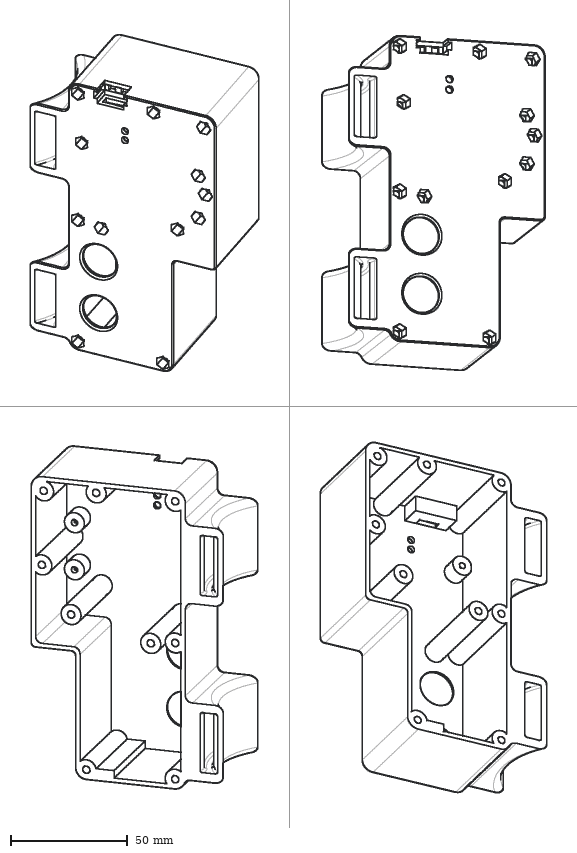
import cadquery as cq
import math

LENGTH = 135.0
DEPTH = 44.0
WALL = 2.0
BODY_LEFT = 18.2
BODY_RIGHT = 88.0
LEG_RIGHT = 67.9
STEP_Z = 57.5
BODY_CORNER = 5.0
STEP_CORNER = 2.0
LOBE_FILLET = 3.1
FRONT_CHAMFER = 0.5

LEDGE_LEFT = 50.5
LEDGE_TOP = 5.4

LOBE_BOTTOMS = (4.6, 84.8)
LOBE_HEIGHT = 35.2
LOBE_TIP_X = -0.35
SADDLE_RADIUS = 33.5
SADDLE_Y = 22.8
SADDLE_X = LOBE_TIP_X - math.sqrt(SADDLE_RADIUS**2 - SADDLE_Y**2)
SLOT_WIDTH = 4.0
SLOT_HEIGHT = 27.1
SLOT_BASE = 4.2
SLOT_INNER_RADIUS = SADDLE_RADIUS + WALL
SLOT_OUTER_RADIUS = SLOT_INNER_RADIUS + SLOT_WIDTH
SLOT_EDGE_FILLET = 1.0
SLOT_MOUTH_X = 12.4
LIP_RADIUS = 6.8
LEAD_IN_SLANT = 29.0

SCREW_DIAMETER = 3.2
SMALL_SCREW_DIAMETER = 2.7
NUT_DIAMETER = 6.5
NUT_DEPTH = 6.0
BRIDGE_LAYER = 0.3
UPRIGHT_TURN = 30.0
POST_DIAMETER = 9.0
STANDOFF_LENGTH = 8.1
UPRIGHT_NUTS = [(22.8, 130.3), (58.6, 130.3), (69.9, 74.0), (22.8, 66.2), (22.8, 4.5), (63.0, 4.5)]
TURNED_NUTS = [(82.4, 128.7), (83.2, 95.0), (33.9, 64.8)]
SMALL_UPRIGHT_NUTS = [(24.6, 105.7)]
SMALL_TURNED_NUTS = [(79.8, 103.7), (79.8, 82.4)]

WINDOW_DIAMETER = 16.0
WINDOW_CHAMFER = 1.0
WINDOW_CENTRES = [(32.7, 47.7), (32.7, 21.6)]
LIGHT_DIAMETER = 3.1
LIGHT_CENTRES = [(45.1, 117.2), (45.1, 112.6)]

SWITCH_X = 38.2
SWITCH_WIDTH = 12.5
SWITCH_DEPTH = 7.8
PANEL_STEP = 0.3
SWITCH_FLOOR = 127.8
GROOVE_WIDTH = 15.7
GROOVE_BOTTOM = 130.1
GROOVE_HEIGHT = 3.4
OPENING_WIDTH = 9.0
OPENING_HEIGHT = 2.8
OPENING_DEPTH = 2.0
SLIDER_WIDTH = 2.8
SLIT_FRONT = 2.2
SLIT_DEPTH = 3.4


def box(x0, x1, y0, y1, z0, z1):
    return cq.Workplane("XY").box(x1 - x0, y1 - y0, z1 - z0, centered=False).translate((x0, y0, z0))


def front_plane(y):
    """Plane parallel to the front face at depth y, with X to the right and Z up."""
    return cq.Workplane(cq.Plane(origin=(0, y, 0), xDir=(1, 0, 0), normal=(0, -1, 0)))


def prism(sketch, length):
    """Extrude a front-plane sketch toward +Y."""
    return sketch.extrude(-length)


def outer_block():
    """Body and lobes in one outline, the lobes still with square ends."""
    r = BODY_CORNER
    f = LOBE_FILLET
    s = STEP_CORNER
    low = LOBE_BOTTOMS[0]
    rise = r + f - low
    corner_x = BODY_LEFT + r
    fillet_x = corner_x - math.sqrt((r + f) ** 2 - rise**2)
    share = r / (r + f)
    meet = (corner_x - share * (corner_x - fillet_x), r - share * rise)

    path = front_plane(0).moveTo(corner_x, 0).lineTo(LEG_RIGHT - r, 0)
    path = path.radiusArc((LEG_RIGHT, r), -r).lineTo(LEG_RIGHT, STEP_Z - s)
    path = path.radiusArc((LEG_RIGHT + s, STEP_Z), s).lineTo(BODY_RIGHT - s, STEP_Z)
    path = path.radiusArc((BODY_RIGHT, STEP_Z + s), -s).lineTo(BODY_RIGHT, LENGTH - r)
    path = path.radiusArc((BODY_RIGHT - r, LENGTH), -r).lineTo(corner_x, LENGTH)
    path = path.radiusArc((BODY_LEFT, LENGTH - r), -r)
    for bottom in reversed(LOBE_BOTTOMS):
        top = bottom + LOBE_HEIGHT
        path = path.lineTo(BODY_LEFT, top + f).radiusArc((BODY_LEFT - f, top), f)
        path = path.lineTo(LOBE_TIP_X, top).lineTo(LOBE_TIP_X, bottom)
        if bottom > low:
            path = path.lineTo(BODY_LEFT - f, bottom).radiusArc((BODY_LEFT, bottom - f), f)
    path = path.lineTo(fillet_x, low).radiusArc(meet, f).radiusArc((corner_x, 0), -r)
    return prism(path.close(), DEPTH)


def cut_saddles(body):
    cylinder = cq.Workplane("XY").center(SADDLE_X, SADDLE_Y).circle(SADDLE_RADIUS).extrude(LENGTH)
    body = body.cut(cylinder)
    margin = 1.4
    deepest = SADDLE_X + SADDLE_RADIUS + margin
    rims = cq.selectors.BoxSelector((SADDLE_X, margin, -margin), (deepest, DEPTH - margin, LENGTH + margin))
    return body.edges("%CIRCLE").edges(rims).fillet(LOBE_FILLET)


def chamfer_front(body):
    return body.faces("<Y").edges().chamfer(FRONT_CHAMFER)


def cavity():
    """Room behind the front wall, open at the back."""
    left = BODY_LEFT + WALL
    upper = box(left, BODY_RIGHT - WALL, WALL, DEPTH, STEP_Z + WALL, LENGTH - WALL)
    lower = box(left, LEG_RIGHT - WALL, WALL, DEPTH, WALL, LENGTH - WALL)
    return upper.union(lower).edges("|Y").fillet(BODY_CORNER - WALL)


def strap_slot(bottom):
    """Curved slot behind a saddle, opening outward over a round lip at each end."""
    slant = math.radians(LEAD_IN_SLANT)
    overrun = 2.7
    from_axis_x = SLOT_MOUTH_X + LIP_RADIUS * math.cos(slant) - SADDLE_X
    from_axis_y = LIP_RADIUS * math.sin(slant) - SADDLE_Y
    along = from_axis_y * math.cos(slant) - from_axis_x * math.sin(slant)
    lip_distance = SLOT_OUTER_RADIUS + LIP_RADIUS
    excess = from_axis_x**2 + from_axis_y**2 - lip_distance**2
    slide = -along - math.sqrt(along**2 - excess)
    lip_x = from_axis_x - slide * math.sin(slant)
    lip_y = from_axis_y + slide * math.cos(slant)
    share = SLOT_OUTER_RADIUS / lip_distance

    mouth_y = -SADDLE_Y - overrun
    mouth = (SLOT_MOUTH_X - SADDLE_X + overrun * math.tan(slant), mouth_y)
    lip_start = (lip_x - LIP_RADIUS * math.cos(slant), lip_y - LIP_RADIUS * math.sin(slant))
    lip_end = (lip_x * share, lip_y * share)
    inner = (math.sqrt(SLOT_INNER_RADIUS**2 - mouth_y**2), mouth_y)

    def back(point):
        return (point[0], -point[1])

    slot = cq.Workplane("XY").workplane(offset=bottom).center(SADDLE_X, SADDLE_Y)
    slot = slot.moveTo(*inner).threePointArc((SLOT_INNER_RADIUS, 0), back(inner)).lineTo(*back(mouth))
    slot = slot.lineTo(*back(lip_start)).radiusArc(back(lip_end), -LIP_RADIUS)
    slot = slot.threePointArc((SLOT_OUTER_RADIUS, 0), lip_end).radiusArc(lip_start, -LIP_RADIUS)
    slot = slot.lineTo(*mouth).close().extrude(SLOT_HEIGHT)
    return slot.faces("|Z").edges().fillet(SLOT_EDGE_FILLET)


def cylinders(centres, diameter, start, length):
    return prism(front_plane(start).pushPoints(centres).circle(diameter / 2), length)


def nut_pockets(centres, hole_diameter, turn):
    """Hexagonal pockets, each stepping down through a flat slot and a square to a round hole."""
    tool = cylinders(centres, hole_diameter, 0, DEPTH)
    for x, z in centres:
        hexagon = prism(front_plane(0).polygon(6, NUT_DIAMETER), NUT_DEPTH)
        hexagon = hexagon.rotate((0, 0, 0), (0, 1, 0), turn)
        slot = prism(front_plane(0).rect(NUT_DIAMETER, hole_diameter), NUT_DEPTH)
        slot = slot.intersect(hexagon).translate((0, BRIDGE_LAYER, 0))
        square_depth = NUT_DEPTH + 2 * BRIDGE_LAYER
        square = prism(front_plane(0).rect(hole_diameter, hole_diameter), square_depth)
        tool = tool.union(hexagon.union(slot).union(square).translate((x, 0, z)))
    return tool


def round_windows():
    holes = cylinders(WINDOW_CENTRES, WINDOW_DIAMETER, 0, WALL)
    for x, z in WINDOW_CENTRES:
        rim = cq.Solid.makeCone(
            WINDOW_DIAMETER / 2 + WINDOW_CHAMFER, WINDOW_DIAMETER / 2, WINDOW_CHAMFER,
            cq.Vector(x, 0, z), cq.Vector(0, 1, 0),
        )
        holes = holes.union(cq.Workplane(rim))
    return holes


def switch_block():
    """Solid inside the housing that carries the switch recess."""
    half = GROOVE_WIDTH / 2 + WALL
    back = SWITCH_DEPTH + PANEL_STEP + OPENING_DEPTH + WALL
    return box(SWITCH_X - half, SWITCH_X + half, WALL, back, SWITCH_FLOOR - WALL, LENGTH - WALL)


def switch_recess():
    """Open recess with side grooves, a back opening around the slider and a slit in its floor."""
    def centred(width, front, back, bottom, top):
        return box(SWITCH_X - width / 2, SWITCH_X + width / 2, front, back, bottom, top)

    opening_top = GROOVE_BOTTOM + OPENING_HEIGHT
    panel_back = SWITCH_DEPTH + PANEL_STEP
    recess = centred(SWITCH_WIDTH, 0, SWITCH_DEPTH, SWITCH_FLOOR, LENGTH)
    groove = centred(
        GROOVE_WIDTH, 0, SWITCH_DEPTH - PANEL_STEP, GROOVE_BOTTOM, GROOVE_BOTTOM + GROOVE_HEIGHT
    )
    panel = centred(SWITCH_WIDTH, 0, panel_back, GROOVE_BOTTOM, opening_top)
    opening = centred(OPENING_WIDTH, panel_back, panel_back + OPENING_DEPTH, GROOVE_BOTTOM, opening_top)
    opening = opening.cut(centred(SLIDER_WIDTH, panel_back, DEPTH, GROOVE_BOTTOM, opening_top))
    slit = centred(OPENING_WIDTH, SLIT_FRONT, SLIT_FRONT + SLIT_DEPTH, SWITCH_FLOOR - WALL, SWITCH_FLOOR)
    return recess.union(groove).union(panel).union(opening).union(slit)


outer = chamfer_front(cut_saddles(outer_block()))

posts = cylinders(UPRIGHT_NUTS + TURNED_NUTS, POST_DIAMETER, WALL, DEPTH - WALL)
standoffs = cylinders(SMALL_UPRIGHT_NUTS + SMALL_TURNED_NUTS, POST_DIAMETER, WALL, STANDOFF_LENGTH)
ledge = box(LEDGE_LEFT, LEG_RIGHT - WALL, WALL, DEPTH, WALL, LEDGE_TOP)
inside = posts.union(standoffs).union(ledge).union(switch_block()).intersect(outer)

result = outer.cut(cavity()).union(inside)
for lobe_bottom in LOBE_BOTTOMS:
    result = result.cut(strap_slot(lobe_bottom + SLOT_BASE))
result = result.cut(nut_pockets(UPRIGHT_NUTS, SCREW_DIAMETER, UPRIGHT_TURN))
result = result.cut(nut_pockets(SMALL_UPRIGHT_NUTS, SMALL_SCREW_DIAMETER, UPRIGHT_TURN))
result = result.cut(nut_pockets(TURNED_NUTS, SCREW_DIAMETER, 0))
result = result.cut(nut_pockets(SMALL_TURNED_NUTS, SMALL_SCREW_DIAMETER, 0))
result = result.cut(round_windows())
result = result.cut(cylinders(LIGHT_CENTRES, LIGHT_DIAMETER, 0, WALL))
result = result.cut(switch_recess())